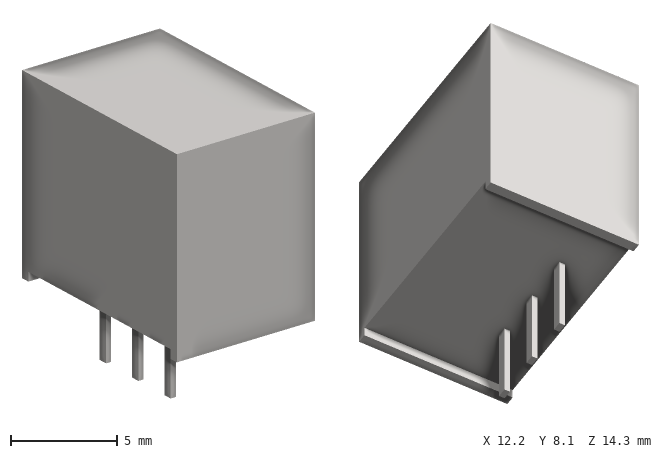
import cadquery as cq

WIDTH = 12.2
DEPTH = 8.1
TOTAL_HEIGHT = 14.3
PIN_LENGTH = 4.09
HOUSING_HEIGHT = TOTAL_HEIGHT - PIN_LENGTH
FRONT_Y = -DEPTH / 2

RAIL_WIDTH = 0.5
RAIL_HEIGHT = 0.5

PIN_COUNT = 3
PIN_PITCH = 2.55
PIN_WIDTH = 0.5
PIN_THICKNESS = 0.3
PIN_FROM_FRONT = 2.25

MARKER_DIAMETER = 1.0
MARKER_HEIGHT = 1.5
MARKER_DEPTH = 0.1

FIRST_PIN_X = -PIN_PITCH * (PIN_COUNT - 1) / 2


def make_marker():
    """Thin disc whose outer face is flush with the housing front."""
    return (
        cq.Workplane("XZ", origin=(FIRST_PIN_X, FRONT_Y, MARKER_HEIGHT))
        .circle(MARKER_DIAMETER / 2)
        .extrude(-MARKER_DEPTH)
    )


def make_housing(marker):
    """Plain block with a recess that holds the marker."""
    block = cq.Workplane("XY").box(WIDTH, DEPTH, HOUSING_HEIGHT, centered=(True, True, False))
    return block.cut(marker)


def make_rail(side):
    """Full-depth rail at the -X (side = -1) or +X (side = 1) end."""
    center_x = side * (WIDTH - RAIL_WIDTH) / 2
    return (
        cq.Workplane("XY")
        .center(center_x, 0)
        .rect(RAIL_WIDTH, DEPTH)
        .extrude(-RAIL_HEIGHT)
    )


def make_pin(index):
    """Flat pin hanging from the housing underside."""
    center_x = FIRST_PIN_X + index * PIN_PITCH
    center_y = FRONT_Y + PIN_FROM_FRONT
    return (
        cq.Workplane("XY")
        .center(center_x, center_y)
        .rect(PIN_WIDTH, PIN_THICKNESS)
        .extrude(-PIN_LENGTH)
    )


marker = make_marker()
housing = make_housing(marker)
rails = [make_rail(side) for side in (-1, 1)]
pins = [make_pin(index) for index in range(PIN_COUNT)]

result = cq.Compound.makeCompound([
    housing.val(),
    marker.val(),
    *[rail.val() for rail in rails],
    *[pin.val() for pin in pins],
])